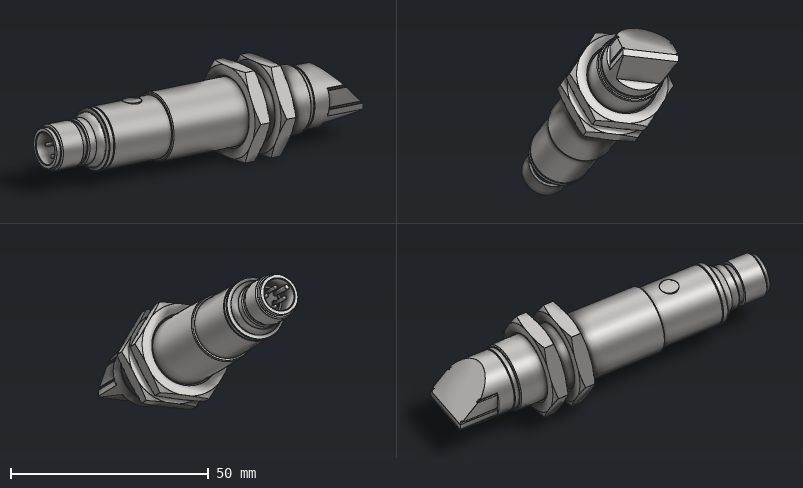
import cadquery as cq
import math


TIP_Y = 46.3
HEAD_SHOULDER_Y = 35.4
BARREL_FRONT_Y = 29.45
BARREL_REAR_Y = -13.15
CAP_END_Y = -32.2
BULGE_START_Y = -32.5
BULGE_END_Y = -34.6
COLLAR_END_Y = -37.0
THREAD_START_Y = -38.6
THREAD_END_Y = -45.2
CONNECTOR_END_Y = -46.3

BARREL_DIA = 18.0
HEAD_DIA = 16.6
REAR_DIA = 16.4
BULGE_DIA = 14.2
THREAD_DIA = 12.0
NECK_DIA = 10.5
BARREL_CHAMFER = 0.3
THREAD_CHAMFER = 0.4
CAP_CHAMFER = 0.2
BULGE_FOOT_DIA = 13.5
BULGE_ARC_RADIUS = 2.3

SEAM_WIDTH = 0.3
SEAM_DEPTH = 0.1
HEAD_SEAM_Y = 30.7
REAR_SEAM_Y = -30.65

BUTTON_DIA = 5.0
BUTTON_Y = -19.6

FLATS_WIDTH = 14.8
TIP_TOP_Z = -2.1
TIP_BOTTOM_Z = -4.0
WEDGE_ROOT_Z = -5.9
SLOPE_ANGLE = 45.0
SIDE_GROOVE_DEPTH = 0.5
SIDE_GROOVE_WIDTH = 0.6
SIDE_GROOVE_BOTTOMS = (TIP_TOP_Z, 3.0)

SOCKET_DIA = 8.3
SOCKET_DEPTH = 7.4
SOCKET_CHAMFER = 0.2
INSERT_DIA = 7.0
INSERT_RECESS = 0.5
SOCKET_FLOOR_Y = CONNECTOR_END_Y + SOCKET_DEPTH + INSERT_RECESS
PIN_COUNT = 4
PIN_DIA = 1.0
PIN_LENGTH = 6.0
PIN_CIRCLE_DIA = 5.0
PIN_CLEARANCE_DIA = 1.6
PIN_CLEARANCE_DEPTH = 0.3
KEY_DIA = 1.2
KEY_RADIUS = 3.6
KEY_SETBACK = 0.9
KEY_ANGLE = 45.0

NUT_ACROSS_FLATS = 24.0
NUT_THICKNESS = 4.1
NUT_REAR_FACES = (17.8, 9.8)
NUT_CHAMFER_DIA = 24.3
NUT_CHAMFER_ANGLE = 20.0
NUT_BORE_CHAMFER = 0.5


def cylinder(diameter, start_y, length, x=0.0, z=0.0):
    """Cylinder along +Y from start_y."""
    base = cq.Vector(x, start_y, z)
    return cq.Workplane(cq.Solid.makeCylinder(diameter / 2, length, base, cq.Vector(0, 1, 0)))


def turned_profile():
    barrel_r = BARREL_DIA / 2
    head_r = HEAD_DIA / 2
    rear_r = REAR_DIA / 2
    bulge_r = BULGE_DIA / 2
    foot_r = BULGE_FOOT_DIA / 2
    thread_r = THREAD_DIA / 2
    neck_r = NECK_DIA / 2
    return (
        cq.Workplane("XY")
        .moveTo(0, TIP_Y)
        .lineTo(head_r, TIP_Y)
        .lineTo(head_r, BARREL_FRONT_Y)
        .lineTo(barrel_r - BARREL_CHAMFER, BARREL_FRONT_Y)
        .lineTo(barrel_r, BARREL_FRONT_Y - BARREL_CHAMFER)
        .lineTo(barrel_r, BARREL_REAR_Y + BARREL_CHAMFER)
        .lineTo(barrel_r - BARREL_CHAMFER, BARREL_REAR_Y)
        .lineTo(rear_r, BARREL_REAR_Y)
        .lineTo(rear_r, CAP_END_Y + CAP_CHAMFER)
        .lineTo(rear_r - CAP_CHAMFER, CAP_END_Y)
        .lineTo(foot_r, CAP_END_Y)
        .lineTo(foot_r, BULGE_START_Y)
        .lineTo(bulge_r, BULGE_START_Y)
        .radiusArc((thread_r, BULGE_END_Y), BULGE_ARC_RADIUS)
        .lineTo(thread_r, COLLAR_END_Y + THREAD_CHAMFER)
        .lineTo(thread_r - THREAD_CHAMFER, COLLAR_END_Y)
        .lineTo(neck_r, COLLAR_END_Y)
        .lineTo(neck_r, THREAD_START_Y)
        .lineTo(thread_r, THREAD_START_Y)
        .lineTo(thread_r, THREAD_END_Y + THREAD_CHAMFER)
        .lineTo(thread_r - THREAD_CHAMFER, THREAD_END_Y)
        .lineTo(neck_r, THREAD_END_Y)
        .lineTo(neck_r, CONNECTOR_END_Y)
        .lineTo(0, CONNECTOR_END_Y)
        .close()
        .revolve(360, (0, 0, 0), (0, 1, 0))
    )


def wedge_envelope():
    """Room that the head keeps in front of its shoulder."""
    rise = (TIP_Y - HEAD_SHOULDER_Y) * math.tan(math.radians(SLOPE_ANGLE))
    return (
        cq.Workplane("YZ")
        .polyline([
            (TIP_Y, TIP_BOTTOM_Z),
            (TIP_Y, TIP_TOP_Z),
            (HEAD_SHOULDER_Y, TIP_TOP_Z + rise),
            (HEAD_SHOULDER_Y, WEDGE_ROOT_Z),
        ])
        .close()
        .extrude(FLATS_WIDTH / 2, both=True)
    )


def shape_head(body):
    length = TIP_Y - HEAD_SHOULDER_Y
    front = cylinder(BARREL_DIA, HEAD_SHOULDER_Y, length)
    body = body.cut(front.cut(wedge_envelope()))
    for side in (-1, 1):
        for bottom_z in SIDE_GROOVE_BOTTOMS:
            groove = cq.Workplane("XY").box(2 * SIDE_GROOVE_DEPTH, length, SIDE_GROOVE_WIDTH)
            groove = groove.translate(
                (side * FLATS_WIDTH / 2, HEAD_SHOULDER_Y + length / 2, bottom_z + SIDE_GROOVE_WIDTH / 2)
            )
            body = body.cut(groove)
    return body


def cut_seams(body):
    for seam_y, diameter in ((HEAD_SEAM_Y, HEAD_DIA), (REAR_SEAM_Y, REAR_DIA)):
        start_y = seam_y - SEAM_WIDTH / 2
        ring = cylinder(diameter + SEAM_DEPTH, start_y, SEAM_WIDTH)
        ring = ring.cut(cylinder(diameter - 2 * SEAM_DEPTH, start_y, SEAM_WIDTH))
        body = body.cut(ring)
    return body


def add_button(body):
    """Disc whose flat top is level with the crest of the rear section."""
    button = cq.Workplane("XY", origin=(0, BUTTON_Y, 0)).circle(BUTTON_DIA / 2).extrude(REAR_DIA / 2)
    inner_room = cylinder(BULGE_DIA, BUTTON_Y - BUTTON_DIA, 2 * BUTTON_DIA)
    return body.union(button.cut(inner_room))


def polar_xz(radius, angle):
    turn = math.radians(angle)
    return radius * math.cos(turn), radius * math.sin(turn)


def contact_pin(x, z, root_y):
    """Dome-ended pin that points out of the socket."""
    dome_y = SOCKET_FLOOR_Y - PIN_LENGTH + PIN_DIA / 2
    shank = cylinder(PIN_DIA, dome_y, root_y - dome_y, x, z)
    dome = cq.Workplane("XY", origin=(x, dome_y, z)).sphere(PIN_DIA / 2)
    return shank.union(dome)


def cut_socket(body):
    body = body.cut(cylinder(SOCKET_DIA, CONNECTOR_END_Y, SOCKET_DEPTH))
    body = body.cut(cylinder(INSERT_DIA, SOCKET_FLOOR_Y - INSERT_RECESS, INSERT_RECESS))
    mouth_r = SOCKET_DIA / 2 + SOCKET_CHAMFER
    mouth = cq.Solid.makeCone(
        mouth_r, SOCKET_DIA / 2, SOCKET_CHAMFER, cq.Vector(0, CONNECTOR_END_Y, 0), cq.Vector(0, 1, 0)
    )
    return body.cut(cq.Workplane(mouth))


def add_contacts(body):
    root_y = SOCKET_FLOOR_Y + PIN_CLEARANCE_DEPTH
    for i in range(PIN_COUNT):
        x, z = polar_xz(PIN_CIRCLE_DIA / 2, i * 360 / PIN_COUNT)
        body = body.cut(cylinder(PIN_CLEARANCE_DIA, SOCKET_FLOOR_Y, PIN_CLEARANCE_DEPTH, x, z))
        body = body.union(contact_pin(x, z, root_y))
    return body


def add_key(body):
    """Coding rib along the socket wall."""
    x, z = polar_xz(KEY_RADIUS, KEY_ANGLE)
    start_y = CONNECTOR_END_Y + KEY_SETBACK
    return body.union(cylinder(KEY_DIA, start_y, SOCKET_FLOOR_Y - start_y, x, z))


def hex_nut(rear_y):
    """Hexagon nut with chamfered corners and a chamfered bore that fits the barrel."""
    corner_r = NUT_ACROSS_FLATS / math.sqrt(3)
    face_r = NUT_CHAMFER_DIA / 2
    drop = (corner_r - face_r) * math.tan(math.radians(NUT_CHAMFER_ANGLE))
    bore_r = BARREL_DIA / 2
    mouth_r = bore_r + NUT_BORE_CHAMFER
    hexagon = cq.Workplane("XZ", origin=(0, rear_y, 0)).polygon(6, 2 * corner_r).extrude(-NUT_THICKNESS)
    front_y = rear_y + NUT_THICKNESS
    blank = (
        cq.Workplane("XY")
        .polyline([
            (bore_r, rear_y + NUT_BORE_CHAMFER),
            (mouth_r, rear_y),
            (face_r, rear_y),
            (corner_r, rear_y + drop),
            (corner_r, front_y - drop),
            (face_r, front_y),
            (mouth_r, front_y),
            (bore_r, front_y - NUT_BORE_CHAMFER),
        ])
        .close()
        .revolve(360, (0, 0, 0), (0, 1, 0))
    )
    return hexagon.intersect(blank)


def build_sensor():
    body = shape_head(turned_profile())
    body = cut_seams(body)
    body = add_button(body)
    body = cut_socket(body)
    body = add_contacts(body)
    return add_key(body)


sensor = build_sensor()
nuts = [hex_nut(rear_y) for rear_y in NUT_REAR_FACES]

result = cq.Compound.makeCompound([sensor.val(), *[nut.val() for nut in nuts]])